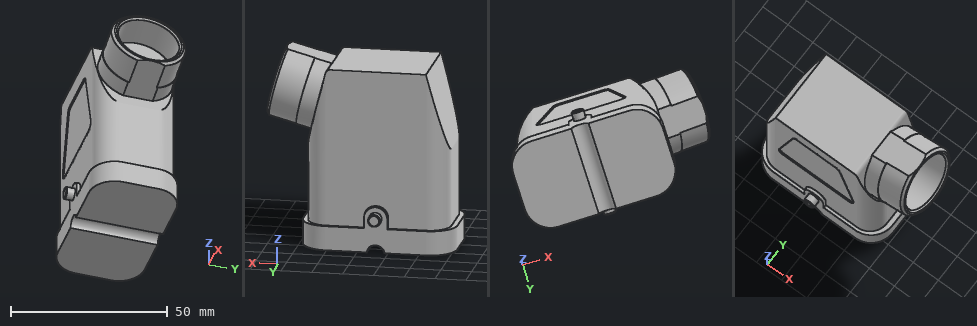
import cadquery as cq
import math

BASE_LENGTH = 50.0
BASE_WIDTH = 29.2
BASE_HEIGHT = 8.0
BASE_CORNER_RADIUS = 8.65

BODY_LENGTH = 46.35
BODY_WIDTH = 26.9
BODY_HEIGHT = 59.7
BODY_CORNER_RADIUS = 6.8
SLOPE_ANGLE = 15.0
SLOPE_START_HEIGHT = 33.45
BEND_RADIUS = 1.6

PIN_HEIGHT = 11.35
PIN_DIAMETER = 4.0
PIN_SPAN = 35.0
PIN_CHAMFER = 0.3
LUG_RADIUS = 3.95
LUG_TAPER = 8.0

NOTCH_RADIUS = 2.9
NOTCH_DEPTH = 2.5

PANEL_BOTTOM = 28.05
PANEL_TOP = 52.6
PANEL_TOP_WIDTH = 17.9
PANEL_CORNER_RADIUS = 2.0
PANEL_DEPTH = 0.4
PANEL_TAPER = 30.0

GLAND_END_X = 34.15
GLAND_END_Z = 52.4
NUT_LENGTH = 10.0
NUT_DIAMETER = 24.75
NECK_DIAMETER = 25.0
GLAND_ACROSS_FLATS = 23.0
GLAND_OVERLAP = 3.8
BORE_DIAMETER = 20.4
BORE_DEPTH = NUT_LENGTH
BORE_CHAMFER = 0.65

SLOPE_TANGENT = math.tan(math.radians(SLOPE_ANGLE))
SLOPE_COSINE = math.cos(math.radians(SLOPE_ANGLE))
SLOPE_SINE = math.sin(math.radians(SLOPE_ANGLE))


def rounded_block(length, width, height, corner_radius):
    """Block standing on Z = 0 with rounded vertical edges."""
    block = cq.Workplane("XY").rect(length, width).extrude(height)
    return block.edges("|Z").fillet(corner_radius)


def make_body():
    """Rounded block trimmed by the sloping end profile."""
    half_length = BODY_LENGTH / 2
    half_top = half_length - (BODY_HEIGHT - SLOPE_START_HEIGHT) * SLOPE_TANGENT
    profile = (
        cq.Workplane("XZ")
        .moveTo(-half_length, 0)
        .lineTo(half_length, 0)
        .lineTo(half_length, SLOPE_START_HEIGHT)
        .lineTo(half_top, BODY_HEIGHT)
        .lineTo(-half_top, BODY_HEIGHT)
        .lineTo(-half_length, SLOPE_START_HEIGHT)
        .close()
        .extrude(BODY_WIDTH / 2, both=True)
    )
    slope_foot = cq.selectors.BoxSelector(
        (-BODY_LENGTH, -BODY_WIDTH, SLOPE_START_HEIGHT - BEND_RADIUS),
        (BODY_LENGTH, BODY_WIDTH, SLOPE_START_HEIGHT + BEND_RADIUS),
    )
    profile = profile.edges(slope_foot).edges("|Y").fillet(BEND_RADIUS)
    profile = profile.faces(">Z").edges(">X").fillet(BEND_RADIUS)
    block = rounded_block(BODY_LENGTH, BODY_WIDTH, BODY_HEIGHT, BODY_CORNER_RADIUS)
    return block.intersect(profile)


def make_lug_and_pin():
    """Arched lug rising from the base on the -Y side, with its locking pin."""
    lug = (
        cq.Workplane("XZ", origin=(0, -BODY_WIDTH / 2, 0))
        .moveTo(-LUG_RADIUS, BASE_HEIGHT / 2)
        .lineTo(LUG_RADIUS, BASE_HEIGHT / 2)
        .lineTo(LUG_RADIUS, PIN_HEIGHT)
        .threePointArc((0, PIN_HEIGHT + LUG_RADIUS), (-LUG_RADIUS, PIN_HEIGHT))
        .close()
        .extrude((BASE_WIDTH - BODY_WIDTH) / 2, taper=LUG_TAPER)
    )
    pin = (
        cq.Workplane("XZ")
        .center(0, PIN_HEIGHT)
        .circle(PIN_DIAMETER / 2)
        .extrude(PIN_SPAN / 2)
        .faces("<Y")
        .chamfer(PIN_CHAMFER)
    )
    return lug.union(pin)


def make_notch():
    """Cylinder along Y that cuts the notch in both long sides."""
    return (
        cq.Workplane("XZ")
        .center(0, NOTCH_DEPTH - NOTCH_RADIUS)
        .circle(NOTCH_RADIUS)
        .extrude(BASE_WIDTH, both=True)
    )


def make_panel():
    """Trapezoid pocket whose sides lean like the end slopes."""
    half_top = PANEL_TOP_WIDTH / 2
    half_bottom = half_top + (PANEL_TOP - PANEL_BOTTOM) * SLOPE_TANGENT
    outline = (
        cq.Sketch()
        .polygon([
            (-half_bottom, PANEL_BOTTOM),
            (half_bottom, PANEL_BOTTOM),
            (half_top, PANEL_TOP),
            (-half_top, PANEL_TOP),
            (-half_bottom, PANEL_BOTTOM),
        ])
        .vertices()
        .fillet(PANEL_CORNER_RADIUS)
    )
    return (
        cq.Workplane("XZ", origin=(0, -BODY_WIDTH / 2, 0))
        .placeSketch(outline)
        .extrude(-PANEL_DEPTH, taper=PANEL_TAPER)
    )


GLAND_PLANE = cq.Plane(
    origin=(GLAND_END_X, 0, GLAND_END_Z),
    xDir=(0, 1, 0),
    normal=(SLOPE_COSINE, 0, SLOPE_SINE),
)


def make_gland():
    """Round nut and neck with a flat above and below."""
    length = (
        (GLAND_END_X - BODY_LENGTH / 2) * SLOPE_COSINE
        + (GLAND_END_Z - SLOPE_START_HEIGHT) * SLOPE_SINE
    )
    full_length = length + GLAND_OVERLAP
    nut = cq.Workplane(GLAND_PLANE).circle(NUT_DIAMETER / 2).extrude(-NUT_LENGTH)
    end_chamfer = (NUT_DIAMETER - GLAND_ACROSS_FLATS) / 2
    nut = nut.faces(">X").chamfer(end_chamfer)
    neck = (
        cq.Workplane(GLAND_PLANE)
        .workplane(offset=-NUT_LENGTH)
        .circle(NECK_DIAMETER / 2)
        .extrude(NUT_LENGTH - full_length)
    )
    flats = (
        cq.Workplane(GLAND_PLANE)
        .rect(NECK_DIAMETER, GLAND_ACROSS_FLATS)
        .extrude(-full_length)
    )
    return nut.union(neck).intersect(flats)


def make_bore():
    """Blind gland bore with a chamfered mouth."""
    bore = cq.Workplane(GLAND_PLANE).circle(BORE_DIAMETER / 2).extrude(-BORE_DEPTH)
    mouth = (
        cq.Workplane(GLAND_PLANE)
        .circle(BORE_DIAMETER / 2 + BORE_CHAMFER)
        .extrude(-BORE_CHAMFER, taper=45)
    )
    return bore.union(mouth)


base = rounded_block(BASE_LENGTH, BASE_WIDTH, BASE_HEIGHT, BASE_CORNER_RADIUS)
lug_and_pin = make_lug_and_pin()

result = (
    base.union(make_body())
    .union(lug_and_pin)
    .union(lug_and_pin.mirror("XZ"))
    .cut(make_notch())
    .cut(make_panel())
    .union(make_gland())
    .cut(make_bore())
)